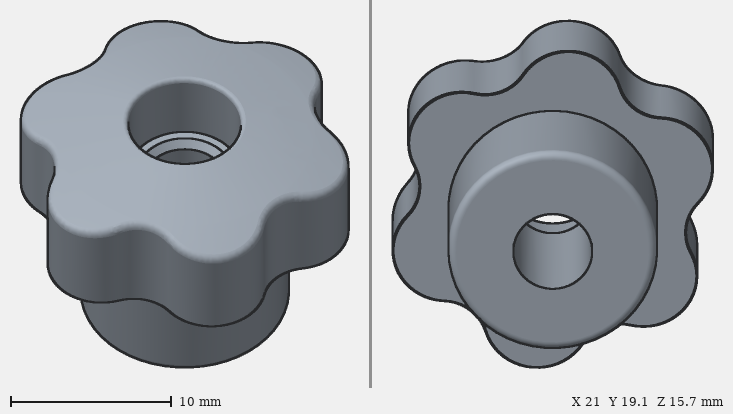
import cadquery as cq
import math

lobe_count = 6
grip_width = 21.0
lobe_radius = 3.35
lobe_center_radius = grip_width / 2 - lobe_radius
valley_floor_radius = 8.4

grip_bottom = 8.0
counterbore_floor = 11.09
total_height = 15.75

dome_mid_radius = 7.04
dome_mid_height = 15.05
dome_edge_height = 14.05
dome_rim_rise = 0.05
grip_edge_fillet = 0.5
grip_bottom_chamfer = 0.06

stem_radius = 13.0 / 2
stem_fillet = 0.5

through_radius = 4.91 / 2
counterbore_radius = 7.0 / 2
bore_rim_fillet = 0.27
through_chamfer = 0.48


def polar(radius, angle):
    return (radius * math.cos(angle), radius * math.sin(angle))


def grip_outline():
    half_pitch = math.pi / lobe_count
    across = lobe_center_radius * math.sin(half_pitch)
    along = lobe_center_radius * math.cos(half_pitch)
    gap = valley_floor_radius - along
    valley_radius = (across**2 + gap**2 - lobe_radius**2) / (2 * (lobe_radius - gap))
    valley_center_radius = valley_floor_radius + valley_radius

    share = lobe_radius / (lobe_radius + valley_radius)
    tangent_across = across * (1 - share)
    tangent_along = along + (valley_center_radius - along) * share
    tangent_radius = math.hypot(tangent_across, tangent_along)
    tangent_offset = half_pitch - math.atan2(tangent_across, tangent_along)

    outline = cq.Workplane("XY").workplane(offset=grip_bottom)
    outline = outline.moveTo(*polar(tangent_radius, -tangent_offset))
    for index in range(lobe_count):
        lobe_angle = 2 * half_pitch * index
        next_lobe_angle = lobe_angle + 2 * half_pitch
        outline = outline.threePointArc(
            polar(grip_width / 2, lobe_angle),
            polar(tangent_radius, lobe_angle + tangent_offset),
        )
        outline = outline.threePointArc(
            polar(valley_floor_radius, lobe_angle + half_pitch),
            polar(tangent_radius, next_lobe_angle - tangent_offset),
        )
    return outline.close()


def domed_blank():
    overhang = 0.42
    blank_radius = grip_width / 2 + overhang
    edge_slope = (dome_mid_height - dome_edge_height) / (grip_width / 2 - dome_mid_radius)
    blank_edge_height = dome_edge_height - overhang * edge_slope
    return (
        cq.Workplane("XZ")
        .moveTo(0, grip_bottom)
        .lineTo(blank_radius, grip_bottom)
        .lineTo(blank_radius, blank_edge_height)
        .threePointArc(
            (dome_mid_radius, dome_mid_height),
            (counterbore_radius, total_height + dome_rim_rise),
        )
        .lineTo(0, total_height + dome_rim_rise)
        .close()
        .revolve(360, (0, 0, 0), (0, 1, 0))
    )


def cylinder(radius, bottom, top):
    return cq.Workplane("XY").workplane(offset=bottom).circle(radius).extrude(top - bottom)


def make_grip():
    height = total_height + dome_rim_rise - grip_bottom
    grip = grip_outline().extrude(height).intersect(domed_blank())
    grip = grip.faces("<Z").edges().chamfer(grip_bottom_chamfer)
    upper_rim = cq.selectors.BoxSelector(
        (-grip_width, -grip_width, (grip_bottom + total_height) / 2),
        (grip_width, grip_width, dome_mid_height),
    )
    grip = grip.edges(upper_rim).edges("not |Z").fillet(grip_edge_fillet)
    grip = grip.cut(cylinder(counterbore_radius, grip_bottom, grip_bottom + height))
    return grip.edges(">Z").fillet(bore_rim_fillet)


def make_stem():
    lower = cylinder(stem_radius, 0, grip_bottom).faces("<Z").edges().fillet(stem_fillet)
    core = cylinder(counterbore_radius, grip_bottom, counterbore_floor)
    return lower.union(core)


def through_hole():
    hole = cylinder(through_radius, 0, counterbore_floor)
    countersink = cq.Workplane("XY").add(
        cq.Solid.makeCone(
            through_radius,
            through_radius + through_chamfer,
            through_chamfer,
            pnt=cq.Vector(0, 0, counterbore_floor - through_chamfer),
        )
    )
    return hole.union(countersink)


result = make_grip().union(make_stem()).cut(through_hole())